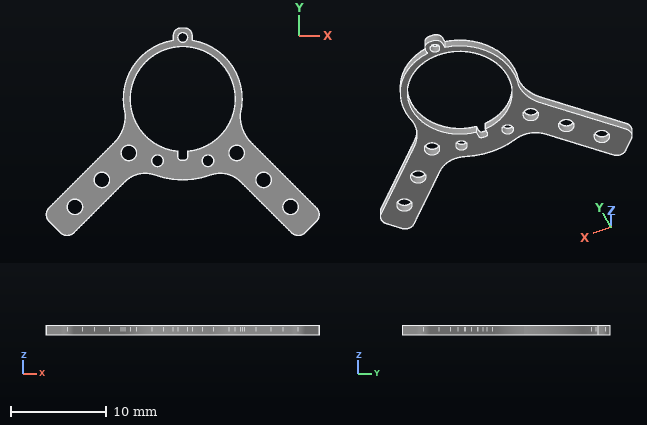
import cadquery as cq
import math

thickness = 1.0
bore_radius = 5.5
ring_radius = 6.25
neck_radius = 6.2
web_radius = 8.5

arm_angle = 45.0
arm_width = 3.7
arm_length = 19.0
arm_corner_radius = 1.0
outer_blend_radius = 4.0
web_blend_radius = 3.0

arm_hole_diameter = 1.6
arm_hole_count = 3
first_arm_hole = 8.0
arm_hole_pitch = 4.0

web_hole_diameter = 1.2
web_hole_circle_radius = 7.0
web_hole_angle = 22.2

eyelet_centre = 6.46
eyelet_half_width = 1.0
eyelet_corner_radius = 0.8
eyelet_hole_diameter = 1.0

slot_width = 1.0
slot_floor = 6.4
slot_corner_radius = 0.3

half_width = arm_width / 2


def polar(radius, angle):
    """Point at a radius and an angle in degrees from the +X axis."""
    return (radius * math.cos(math.radians(angle)), radius * math.sin(math.radians(angle)))


def mirrored(point):
    return (-point[0], point[1])


def arm_point(along, across):
    """Point on the right arm; positive across is towards its upper edge."""
    turn = math.radians(-arm_angle)
    x = along * math.cos(turn) - across * math.sin(turn)
    y = along * math.sin(turn) + across * math.cos(turn)
    return (x, y)


def blend_arc(circle_radius, blend_radius, side):
    """Start on the circle, middle, and end on the arm edge of a concave blend arc.

    side is 1 for the upper edge of the right arm and -1 for its lower edge.
    """
    across = half_width + blend_radius
    along = math.sqrt((circle_radius + blend_radius) ** 2 - across**2)
    towards_circle = math.atan2(-across, -along)
    towards_arm_edge = -math.pi / 2
    middle_angle = (towards_circle + towards_arm_edge) / 2
    start_scale = circle_radius / (circle_radius + blend_radius)
    start = arm_point(along * start_scale, side * across * start_scale)
    middle = arm_point(
        along + blend_radius * math.cos(middle_angle),
        side * (across + blend_radius * math.sin(middle_angle)),
    )
    end = arm_point(along, side * half_width)
    return start, middle, end


def make_body():
    """Neck, arms and web in one outline, with the arm ends rounded."""
    neck_start, neck_middle, neck_end = blend_arc(neck_radius, outer_blend_radius, 1)
    web_start, web_middle, web_end = blend_arc(web_radius, web_blend_radius, -1)
    upper_corner = arm_point(arm_length, half_width)
    lower_corner = arm_point(arm_length, -half_width)
    body = (
        cq.Workplane("XY")
        .moveTo(*neck_start)
        .threePointArc(neck_middle, neck_end)
        .lineTo(*upper_corner)
        .lineTo(*lower_corner)
        .lineTo(*web_end)
        .threePointArc(web_middle, web_start)
        .threePointArc((0, -web_radius), mirrored(web_start))
        .threePointArc(mirrored(web_middle), mirrored(web_end))
        .lineTo(*mirrored(lower_corner))
        .lineTo(*mirrored(upper_corner))
        .lineTo(*mirrored(neck_end))
        .threePointArc(mirrored(neck_middle), mirrored(neck_start))
        .threePointArc((0, neck_radius), neck_start)
        .close()
        .extrude(thickness)
    )
    for corner in (upper_corner, lower_corner):
        for x, y in (corner, mirrored(corner)):
            nearest = cq.selectors.NearestToPointSelector((x, y, thickness / 2))
            body = body.edges("|Z").edges(nearest).fillet(arm_corner_radius)
    return body


def make_eyelet():
    """Tab with rounded outer corners whose straight sides run down into the ring."""
    root = (bore_radius + ring_radius) / 2
    top = eyelet_centre + eyelet_half_width
    return (
        cq.Workplane("XY")
        .center(0, (root + top) / 2)
        .rect(2 * eyelet_half_width, top - root)
        .extrude(thickness)
        .edges("|Z and >Y")
        .fillet(eyelet_corner_radius)
    )


def make_discs(diameter, centres):
    """Round discs of the plate's thickness."""
    return cq.Workplane("XY").pushPoints(centres).circle(diameter / 2).extrude(thickness)


def make_slot():
    """Slot reaching outwards from the bore, with rounded corners at its floor."""
    return (
        cq.Workplane("XY")
        .center(0, -slot_floor / 2)
        .rect(slot_width, slot_floor)
        .extrude(thickness)
        .edges("|Z and <Y")
        .fillet(slot_corner_radius)
    )


arm_holes = []
for index in range(arm_hole_count):
    right_hole = arm_point(first_arm_hole + index * arm_hole_pitch, 0)
    arm_holes += [right_hole, mirrored(right_hole)]

right_web_hole = polar(web_hole_circle_radius, web_hole_angle - 90)
web_holes = [right_web_hole, mirrored(right_web_hole)]

result = (
    make_body()
    .union(make_discs(2 * ring_radius, [(0, 0)]))
    .union(make_eyelet())
    .cut(make_discs(2 * bore_radius, [(0, 0)]))
    .cut(make_slot())
    .cut(make_discs(arm_hole_diameter, arm_holes))
    .cut(make_discs(web_hole_diameter, web_holes))
    .cut(make_discs(eyelet_hole_diameter, [(0, eyelet_centre)]))
)